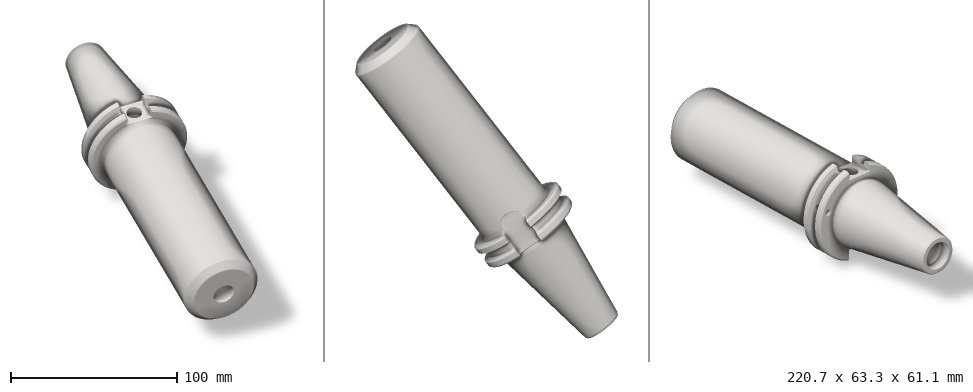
import cadquery as cq
import math


gauge_diameter = 44.45
taper_length = 68.25
taper_ratio = 7 / 24
small_end_diameter = gauge_diameter - taper_length * taper_ratio
small_end_face_diameter = 23.43
small_end_chamfer_length = 1.0
neck_diameter = 43.6
gauge_land = 1.8
neck_fillet = 0.5

flange_diameter = 63.26
flange_front = 3.18
flange_back = 19.05
flange_front_chamfer = 1.0
flange_back_chamfer = 1.0
groove_centre = 11.1
groove_floor_diameter = 56.0
groove_floor_width = 3.8
groove_mouth_width = 7.0

body_diameter = 47.75
body_end = 152.4
body_end_chamfer = 4.4
body_end_fillet = 1.0
root_diameter = 50.8
root_fillet_length = 2.4

through_bore_diameter = 13.39
knob_bore_diameter = 16.3
knob_bore_depth = 5.2
knob_countersink_diameter = 18.0
knob_countersink_length = 2.0

slot_width = 16.4
upper_slot_height = 25.0
lower_slot_height = 22.8
slot_floor_fillet = 0.5
slot_overrun = 1.2
dimple_diameter = 9.53
dimple_straight_depth = 6.0

thread_diameter = 3.24
thread_countersink_diameter = 4.2
groove_hole_diameter = 4.0
groove_hole_bottom_radius = 25.0
coolant_circle_radius = 26.6
coolant_hole_angle = 20

drill_point_angle = 118


def make_blank():
    """Revolve the complete outer shape about X."""
    taper_start = -taper_length
    flange_radius = flange_diameter / 2
    body_radius = body_diameter / 2
    root_radius = root_diameter / 2
    floor_radius = groove_floor_diameter / 2
    half_floor = groove_floor_width / 2
    half_mouth = groove_mouth_width / 2
    gauge_radius = gauge_diameter / 2
    neck_radius = neck_diameter / 2
    neck_start = gauge_land + gauge_radius - neck_radius
    chamfer_end = small_end_chamfer_length - taper_length
    chamfer_end_radius = gauge_radius + chamfer_end * taper_ratio / 2

    root_rise = root_radius - body_radius
    fillet_radius = (root_fillet_length**2 + root_rise**2) / (2 * root_rise)
    half_sweep = math.asin(root_fillet_length / fillet_radius) / 2
    root_end = flange_back + root_fillet_length
    root_middle = (
        root_end - fillet_radius * math.sin(half_sweep),
        body_radius + fillet_radius * (1 - math.cos(half_sweep)),
    )

    outline = (
        cq.Workplane("XY")
        .moveTo(taper_start, 0)
        .lineTo(taper_start, small_end_face_diameter / 2)
        .lineTo(chamfer_end, chamfer_end_radius)
        .lineTo(0, gauge_radius)
        .lineTo(gauge_land, gauge_radius)
        .lineTo(neck_start, neck_radius)
        .lineTo(flange_front - neck_fillet, neck_radius)
        .radiusArc((flange_front, neck_radius + neck_fillet), -neck_fillet)
        .lineTo(flange_front, flange_radius - flange_front_chamfer)
        .lineTo(flange_front + flange_front_chamfer, flange_radius)
        .lineTo(groove_centre - half_mouth, flange_radius)
        .lineTo(groove_centre - half_floor, floor_radius)
        .lineTo(groove_centre + half_floor, floor_radius)
        .lineTo(groove_centre + half_mouth, flange_radius)
        .lineTo(flange_back - flange_back_chamfer, flange_radius)
        .lineTo(flange_back, flange_radius - flange_back_chamfer)
        .lineTo(flange_back, root_radius)
        .threePointArc(root_middle, (root_end, body_radius))
        .lineTo(body_end - body_end_chamfer, body_radius)
        .lineTo(body_end, body_radius - body_end_chamfer)
        .lineTo(body_end, 0)
        .close()
    )
    blank = outline.revolve(360, (0, 0, 0), (1, 0, 0))
    end_chamfer_zone = cq.selectors.BoxSelector(
        (body_end - body_end_chamfer, -body_radius, -body_radius),
        (body_end - body_end_fillet, body_radius, body_radius),
    )
    return blank.faces(end_chamfer_zone).edges("%CIRCLE").fillet(body_end_fillet)


def make_bore():
    """Through bore, wider at the small end for the retention knob, with a countersunk mouth."""
    knob_end = knob_bore_depth - taper_length
    outline = (
        cq.Workplane("XY")
        .moveTo(-taper_length, 0)
        .lineTo(-taper_length, knob_countersink_diameter / 2)
        .lineTo(knob_countersink_length - taper_length, knob_bore_diameter / 2)
        .lineTo(knob_end, knob_bore_diameter / 2)
        .lineTo(knob_end, through_bore_diameter / 2)
        .lineTo(body_end, through_bore_diameter / 2)
        .lineTo(body_end, 0)
        .close()
    )
    return outline.revolve(360, (0, 0, 0), (1, 0, 0))


def make_slot(floor_height, side):
    """Drive slot across the flange, side +1 at the top and -1 at the bottom.

    Past the back of the flange it closes with the round end of the cutter.
    """
    end_radius = slot_width / 2
    end_centre = flange_back + slot_overrun
    slot = (
        cq.Workplane("XY", origin=(0, 0, floor_height))
        .moveTo(0, -end_radius)
        .lineTo(end_centre, -end_radius)
        .threePointArc((end_centre + end_radius, 0), (end_centre, end_radius))
        .lineTo(0, end_radius)
        .close()
        .extrude(flange_diameter / 2 - floor_height)
    )
    slot = slot.faces("<Z").edges("not <X").fillet(slot_floor_fillet)
    if side < 0:
        slot = slot.mirror("XY")
    return slot


def drill_cut(diameter, depth):
    """Blind hole along -Z from the origin: a straight wall, then a drill point."""
    radius = diameter / 2
    point_depth = radius / math.tan(math.radians(drill_point_angle / 2))
    outline = (
        cq.Workplane("XZ")
        .lineTo(radius, 0)
        .lineTo(radius, -depth)
        .lineTo(0, -depth - point_depth)
        .close()
    )
    return outline.revolve(360, (0, 0, 0), (0, 1, 0))


def make_dimple():
    """Drilled dimple in the upper slot floor."""
    dimple = drill_cut(dimple_diameter, dimple_straight_depth)
    return dimple.translate((groove_centre, 0, upper_slot_height))


def make_coolant_hole(angle):
    """Countersunk threaded hole in the flange face and the radial groove hole that it runs into."""
    countersink_depth = (thread_countersink_diameter - thread_diameter) / 2
    threaded_hole = (
        cq.Workplane("XY", origin=(flange_front, coolant_circle_radius, 0))
        .lineTo(0, thread_countersink_diameter / 2)
        .lineTo(countersink_depth, thread_diameter / 2)
        .lineTo(groove_centre - flange_front, thread_diameter / 2)
        .lineTo(groove_centre - flange_front, 0)
        .close()
        .revolve(360, (0, 0, 0), (1, 0, 0))
    )
    groove_hole = (
        drill_cut(groove_hole_diameter, groove_floor_diameter / 2 - groove_hole_bottom_radius)
        .rotate((0, 0, 0), (1, 0, 0), -90)
        .translate((groove_centre, groove_floor_diameter / 2, 0))
    )
    return threaded_hole.union(groove_hole).rotate((0, 0, 0), (1, 0, 0), angle)


result = make_blank().cut(make_bore())
result = result.cut(make_slot(upper_slot_height, 1))
result = result.cut(make_slot(lower_slot_height, -1))
result = result.cut(make_dimple())
for half_turn in (0, 180):
    result = result.cut(make_coolant_hole(coolant_hole_angle + half_turn))